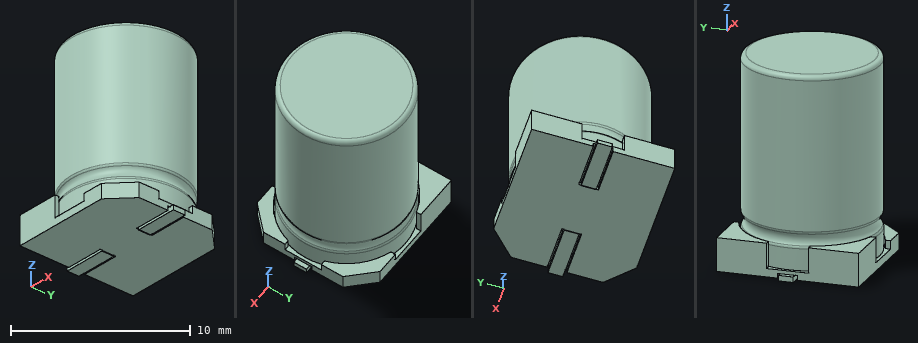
import cadquery as cq
import math

overall_height = 12.05
overall_length = 9.0

base_width = 8.4
base_bottom = 0.05
base_top = 2.05
low_side_top = 1.05
seat_floor = 0.55
seat_radius = 4.08
corner_chamfer = 1.5
window_width = 2.47

can_radius = 4.0
top_fillet = 0.3
groove_center_height = 2.35
groove_depth = 0.18
groove_half_height = 0.51
groove_bend_half_height = 0.35

terminal_width = 0.88
terminal_top = 0.34
terminal_inner_x = 1.54
terminal_slot_width = 1.16


def block(x_min, x_max, width, z_min, z_max):
    """Box between two X and two Z planes, centred on Y = 0."""
    return (
        cq.Workplane("XY")
        .box(x_max - x_min, width, z_max - z_min, centered=(False, True, False))
        .translate((x_min, 0, z_min))
    )


def make_base():
    half_width = base_width / 2
    half_window = window_width / 2
    base = block(-half_width, half_width, base_width, base_bottom, base_top)
    base = base.edges("|Z and >X").chamfer(corner_chamfer)

    base = base.cut(block(half_window, half_width, base_width, low_side_top, base_top))

    seat_height = base_top - seat_floor
    seat = cq.Workplane("XY", origin=(0, 0, seat_floor)).circle(seat_radius).extrude(seat_height)
    window = block(-half_width, half_width, window_width, seat_floor, base_top)
    crossing_window = window.rotate((0, 0, 0), (0, 0, 1), 90)
    return base.cut(seat).cut(window).cut(crossing_window)


def make_can():
    turn = 2 * math.atan(groove_depth / groove_half_height)
    hollow_radius = groove_bend_half_height / math.sin(turn)
    shoulder_radius = (groove_half_height - groove_bend_half_height) / math.sin(turn)
    throat_radius = can_radius - groove_depth
    bend_radius = throat_radius + hollow_radius * (1 - math.cos(turn))
    shoulder_mid_radius = can_radius - shoulder_radius * (1 - math.cos(turn / 2))
    shoulder_mid_offset = groove_half_height - shoulder_radius * math.sin(turn / 2)

    def level(offset):
        return groove_center_height + offset

    profile = (
        cq.Workplane("XZ")
        .moveTo(0, seat_floor)
        .lineTo(can_radius, seat_floor)
        .lineTo(can_radius, level(-groove_half_height))
        .threePointArc(
            (shoulder_mid_radius, level(-shoulder_mid_offset)),
            (bend_radius, level(-groove_bend_half_height)),
        )
        .threePointArc(
            (throat_radius, groove_center_height),
            (bend_radius, level(groove_bend_half_height)),
        )
        .threePointArc(
            (shoulder_mid_radius, level(shoulder_mid_offset)),
            (can_radius, level(groove_half_height)),
        )
        .lineTo(can_radius, overall_height)
        .lineTo(0, overall_height)
        .close()
    )
    can = profile.revolve(360, (0, 0, 0), (0, 1, 0))
    return can.faces(">Z").edges().fillet(top_fillet)


result = make_base().union(make_can())

slot = block(terminal_inner_x, base_width / 2, terminal_slot_width, base_bottom, terminal_top)
terminal = block(terminal_inner_x, overall_length / 2, terminal_width, 0, terminal_top)
for angle in (0, 180):
    result = result.cut(slot.rotate((0, 0, 0), (0, 0, 1), angle))
    result = result.union(terminal.rotate((0, 0, 0), (0, 0, 1), angle))